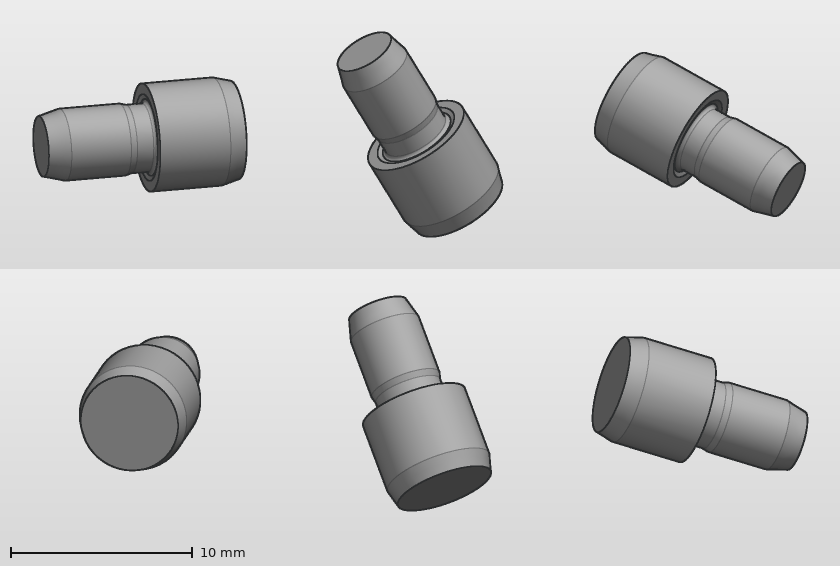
import cadquery as cq
import math

TAPER_SLOPE = math.tan(math.radians(15))

HEAD_RADIUS = 6.0 / 2
HEAD_LENGTH = 5.0
HEAD_TAPER_LENGTH = 1.0

SHANK_RADIUS = 4.0 / 2
SHANK_LENGTH = 6.0
TIP_TAPER_LENGTH = 1.2

NECK_RADIUS = 3.8 / 2
NECK_LENGTH = 1.4

RELIEF_OUTER_RADIUS = 2.4
RELIEF_DEPTH = 0.1
RELIEF_SLOPE = math.tan(math.radians(20))
NECK_FILLET_RADIUS = 0.2


def half_profile():
    """Closed (radius, Y) outline from the axis at the tip to the axis at the head."""
    tip_radius = SHANK_RADIUS - TIP_TAPER_LENGTH * TAPER_SLOPE
    head_end_radius = HEAD_RADIUS - HEAD_TAPER_LENGTH * TAPER_SLOPE
    neck_taper_length = (SHANK_RADIUS - NECK_RADIUS) / TAPER_SLOPE
    relief_floor_radius = RELIEF_OUTER_RADIUS - RELIEF_DEPTH / RELIEF_SLOPE
    fillet_start = (NECK_RADIUS, RELIEF_DEPTH - NECK_FILLET_RADIUS)
    fillet_end = (NECK_RADIUS + NECK_FILLET_RADIUS, RELIEF_DEPTH)
    return (
        cq.Workplane("XY")
        .moveTo(0, -SHANK_LENGTH)
        .lineTo(tip_radius, -SHANK_LENGTH)
        .lineTo(SHANK_RADIUS, -SHANK_LENGTH + TIP_TAPER_LENGTH)
        .lineTo(SHANK_RADIUS, -NECK_LENGTH)
        .lineTo(NECK_RADIUS, -NECK_LENGTH + neck_taper_length)
        .lineTo(*fillet_start)
        .radiusArc(fillet_end, NECK_FILLET_RADIUS)
        .lineTo(relief_floor_radius, RELIEF_DEPTH)
        .lineTo(RELIEF_OUTER_RADIUS, 0)
        .lineTo(HEAD_RADIUS, 0)
        .lineTo(HEAD_RADIUS, HEAD_LENGTH - HEAD_TAPER_LENGTH)
        .lineTo(head_end_radius, HEAD_LENGTH)
        .lineTo(0, HEAD_LENGTH)
        .close()
    )


result = half_profile().revolve(360, (0, 0, 0), (0, 1, 0))